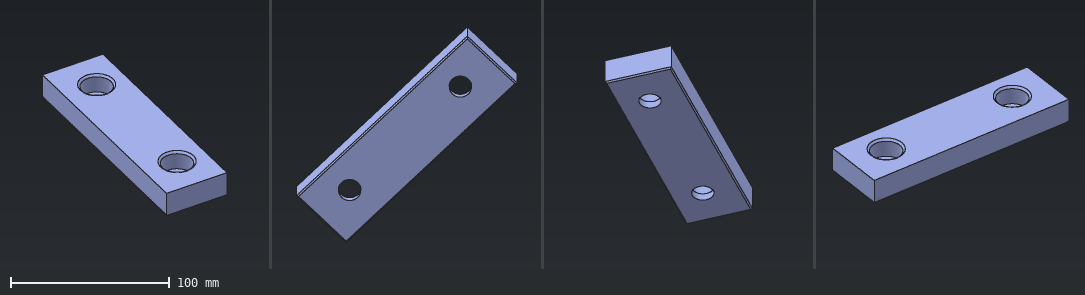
import cadquery as cq

length = 152.0
width = 44.5
height = 18.0
bottom_chamfer = 1.0

hole_spacing = 98.4
hole_offset_y = 1.55
through_diameter = 14.0
counterbore_diameter = 21.0
counterbore_depth = 13.0
rim_diameter = 24.0
rim_chamfer = (rim_diameter - counterbore_diameter) / 2


def make_plate():
    """Rectangular plate standing on Z = 0, chamfered around its bottom face."""
    plate = cq.Workplane("XY").box(length, width, height, centered=(True, True, False))
    return plate.faces("<Z").edges().chamfer(bottom_chamfer)


def make_hole_cutter(x):
    """Solid of revolution for one through hole with a chamfered counterbore."""
    through_radius = through_diameter / 2
    counterbore_radius = counterbore_diameter / 2
    floor_z = height - counterbore_depth
    profile = (
        cq.Workplane("XZ")
        .lineTo(through_radius, 0)
        .lineTo(through_radius, floor_z)
        .lineTo(counterbore_radius, floor_z)
        .lineTo(counterbore_radius, height - rim_chamfer)
        .lineTo(rim_diameter / 2, height)
        .lineTo(0, height)
        .close()
    )
    return profile.revolve(360, (0, 0, 0), (0, 1, 0)).translate((x, hole_offset_y, 0))


result = make_plate()
for side in (-1, 1):
    result = result.cut(make_hole_cutter(side * hole_spacing / 2))